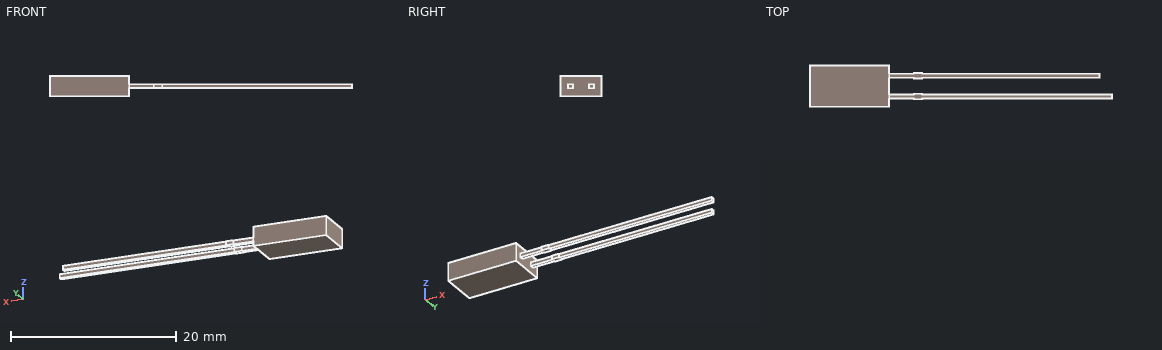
import cadquery as cq

total_length = 36.6
body_width = 5.0
body_height = 2.5
body_length = 9.6

lead_thickness = 0.5
lead_pitch = 2.53
long_lead_length = total_length - body_length
lead_length_difference = 1.5
short_lead_length = long_lead_length - lead_length_difference

collar_offset = 3.0
collar_length = 1.0
collar_width = 0.7


def block(start_x, center_y, length, width, height):
    """Box running in +X from start_x, centred on center_y and on Z = 0."""
    return (
        cq.Workplane("XY")
        .box(length, width, height, centered=(False, True, True))
        .translate((start_x, center_y, 0))
    )


def lead(center_y, length):
    """Square lead with its widened collar."""
    wire = block(body_length, center_y, length, lead_thickness, lead_thickness)
    collar_start = body_length + collar_offset
    collar = block(collar_start, center_y, collar_length, collar_width, lead_thickness)
    return wire.union(collar)


body = block(0, 0, body_length, body_width, body_height)
long_lead = lead(-lead_pitch / 2, long_lead_length)
short_lead = lead(lead_pitch / 2, short_lead_length)

result = body.union(long_lead).union(short_lead)